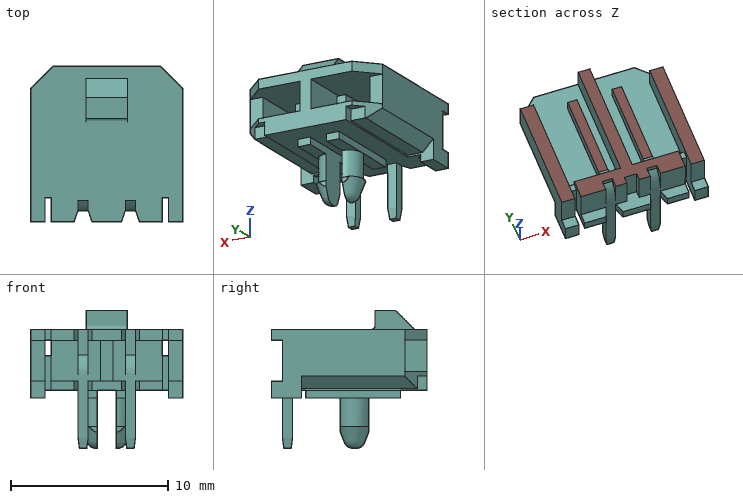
import cadquery as cq
import math


width = 9.65
length = 9.9
top_z = 4.37
bottom_z = 0.495
front_face_y = 0.7
corner_cut = 1.43
lower_chamfer_top = 1.4
lower_chamfer = 0.78
floor_half_width = 2.97
roof_bottom_z = 3.66
ledge_top_z = 1.08

foot_inner_x = 3.91
foot_length = 1.93
slot_width = 0.39
slot_depth = 1.53

rib_half_width = 0.41
pocket_floor_z = 1.69
pocket_ceiling_z = 3.69
pocket_front_y = 1.98
mouth_cut_length = 0.61
groove_depth = 0.48

latch_width = 2.6
latch_height = 1.2
latch_rear_y = 9.1
latch_front_y = 6.58
latch_fillet = 0.23

pin_pitch = 3.01
pin_size = 0.65
pin_end_z = -3.2
pin_taper_length = 0.69
pin_tip_size = 0.48
bend_radius = 1.51
bend_start_z = 1.5
contact_end_y = 7.92
notch_width = 1.13

peg_y = 5.29
peg_gap = 1.19
peg_radius = 0.91
barb_top_z = -1.81
barb_radius = 1.05
barb_waist_z = -2.81
barb_waist_radius = 0.65
nose_radius = 0.61
rail_front_y = 2.19
rail_rear_y = 8.21

half_width = width / 2
half_gap = peg_gap / 2
bend_top_z = bend_start_z + bend_radius
window_floor_z = bend_top_z - pin_size / 2
pin_back_y = front_face_y + pin_size
pin_xs = (-pin_pitch / 2, pin_pitch / 2)


def block(x0, x1, y0, y1, z0, z1):
    """Box between two opposite corners."""
    return cq.Workplane("XY").box(x1 - x0, y1 - y0, z1 - z0, centered=False).translate((x0, y0, z0))


def both_sides(solid):
    """A solid together with its mirror image across X = 0."""
    return solid.union(solid.mirror("YZ"))


def shroud():
    body = block(-half_width, half_width, 0, length, bottom_z, top_z)
    body = body.edges("|Z and >Y").chamfer(corner_cut)

    front_recess = block(-half_width, half_width, 0, front_face_y, ledge_top_z, roof_bottom_z)
    groove = block(-rib_half_width, rib_half_width, front_face_y, front_face_y + groove_depth,
                   ledge_top_z, roof_bottom_z)

    underside_z = lower_chamfer_top - lower_chamfer
    chamfer_inner_x = half_width - lower_chamfer
    lower_edge = (
        cq.Workplane("XZ", origin=(0, foot_length, 0))
        .moveTo(half_width, lower_chamfer_top)
        .lineTo(chamfer_inner_x, underside_z)
        .lineTo(floor_half_width, underside_z)
        .lineTo(floor_half_width, bottom_z)
        .lineTo(half_width, bottom_z)
        .close()
        .extrude(foot_length - length)
    )
    slot = block(foot_inner_x - slot_width, foot_inner_x, 0, slot_depth, bottom_z, top_z)
    return body.cut(front_recess).cut(groove).cut(both_sides(lower_edge)).cut(both_sides(slot))


def mating_cavity():
    """Pocket on each side of the rib, open at the cut corner, with a rear window."""
    pocket = block(rib_half_width, foot_inner_x, pocket_front_y, length, pocket_floor_z, pocket_ceiling_z)
    corner = block(foot_inner_x, half_width, length - corner_cut, length, pocket_floor_z, pocket_ceiling_z)
    window = block(foot_inner_x - slot_width, foot_inner_x, slot_depth, pocket_front_y,
                   window_floor_z, roof_bottom_z)
    mouth_cut = block(floor_half_width, half_width, length - mouth_cut_length, length,
                      bottom_z, lower_chamfer_top)
    return both_sides(pocket.union(corner).union(window).union(mouth_cut))


def feet():
    foot = block(foot_inner_x, half_width, 0, foot_length, 0, ledge_top_z)
    return both_sides(foot)


def latch():
    ramp_end_y = latch_rear_y - latch_height
    latch_top_z = top_z + latch_height
    arc_mid = latch_fillet * (1 - math.sqrt(0.5))
    return (
        cq.Workplane("YZ", origin=(-latch_width / 2, 0, 0))
        .moveTo(latch_rear_y, top_z)
        .lineTo(ramp_end_y, latch_top_z)
        .lineTo(latch_front_y, latch_top_z)
        .lineTo(latch_front_y, top_z + latch_fillet)
        .threePointArc((latch_front_y - arc_mid, top_z + arc_mid), (latch_front_y - latch_fillet, top_z))
        .close()
        .extrude(latch_width)
    )


def pin_opening(x):
    """Flared notch at the front edge and the straight channel behind it."""
    half_pin = pin_size / 2
    half_notch = notch_width / 2
    notch = (
        cq.Workplane("XY", origin=(x, 0, bottom_z))
        .polyline([(-half_notch, 0), (half_notch, 0), (half_pin, front_face_y), (-half_pin, front_face_y)])
        .close()
        .extrude(top_z - bottom_z)
    )
    return notch.union(block(x - half_pin, x + half_pin, front_face_y, pin_back_y, bottom_z, top_z))


def pin(x):
    """Bent square contact with a tapered solder tail."""
    half_pin = pin_size / 2
    taper_z = pin_end_z + pin_taper_length
    bend_centre_y = front_face_y + bend_radius
    arc_mid = bend_radius * math.sqrt(0.5)
    contact = (
        cq.Workplane("YZ", origin=(x - half_pin, 0, 0))
        .moveTo(front_face_y, taper_z)
        .lineTo(front_face_y, bend_start_z)
        .threePointArc((bend_centre_y - arc_mid, bend_start_z + arc_mid), (bend_centre_y, bend_top_z))
        .lineTo(contact_end_y, bend_top_z)
        .lineTo(contact_end_y, bend_top_z - pin_size)
        .lineTo(pin_back_y, bend_top_z - pin_size)
        .lineTo(pin_back_y, taper_z)
        .close()
        .extrude(pin_size)
    )
    tip = (
        cq.Workplane("XY", origin=(x, (front_face_y + pin_back_y) / 2, taper_z))
        .rect(pin_size, pin_size)
        .workplane(offset=-pin_taper_length)
        .rect(pin_tip_size, pin_tip_size)
        .loft()
    )
    return contact.union(tip)


def peg_half():
    """Half of the split peg on the +X side, with its rail."""
    barb_angle = math.atan2(barb_radius - barb_waist_radius, barb_top_z - barb_waist_z)
    nose_centre_r = barb_waist_radius - nose_radius * math.cos(barb_angle)
    nose_centre_z = pin_end_z + nose_radius
    mid_angle = (barb_angle + math.pi / 2) / 2
    nose_mid = (nose_centre_r + nose_radius * math.cos(mid_angle),
                nose_centre_z - nose_radius * math.sin(mid_angle))
    barb = (
        cq.Workplane("XZ")
        .moveTo(0, barb_top_z)
        .lineTo(barb_radius, barb_top_z)
        .lineTo(barb_waist_radius, barb_waist_z)
        .threePointArc(nose_mid, (nose_centre_r, pin_end_z))
        .lineTo(0, pin_end_z)
        .close()
        .revolve(360, (0, 0), (0, 1))
    )
    shank = cq.Workplane("XY", origin=(0, 0, barb_top_z)).circle(peg_radius).extrude(bottom_z - barb_top_z)
    envelope = block(0, barb_radius, -peg_radius, peg_radius, pin_end_z, bottom_z)
    peg = barb.union(shank).intersect(envelope).translate((half_gap, peg_y, 0))
    rail = block(half_gap, half_gap + peg_radius, rail_front_y, rail_rear_y, 0, bottom_z)
    return peg.union(rail)


result = shroud().union(feet()).cut(mating_cavity())
for pin_x in pin_xs:
    result = result.cut(pin_opening(pin_x)).union(pin(pin_x))
result = result.union(latch()).union(both_sides(peg_half())).clean()